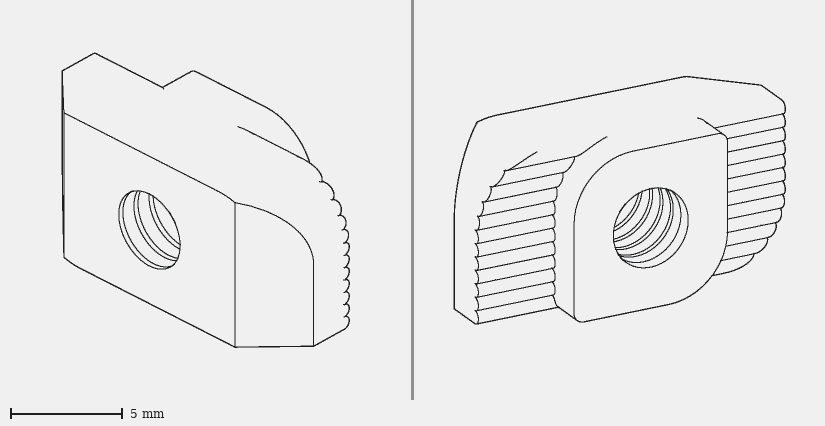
import cadquery as cq

length = 15.6
depth = 6.6
height = 7.8

flange_chamfer = 2.5
flange_radius = 3.5

stem_width = 7.8
stem_height = 1.8
stem_large_radius = 2.98
stem_small_radius = 0.5

serration_count = 12
serration_pitch = height / serration_count
serration_radius = serration_pitch / 2
root_y = depth - stem_height - serration_radius

bore_radius = 1.9
thread_depth = 0.6
thread_pitch = 0.98
crest_width = 0.27
groove_width = thread_pitch - crest_width
groove_count = int((depth - crest_width) // thread_pitch)


def rounded_plate(width, start_y, end_y, large_radius, small_radius=0):
    """Plate along Y with diagonally opposite pairs of equal corner radii in XZ."""
    plate = cq.Workplane("XY").box(width, end_y - start_y, height)
    plate = plate.translate((0, (start_y + end_y) / 2, 0))
    for side in (1, -1):
        corner = cq.selectors.NearestToPointSelector
        rounded_corner = (side * width / 2, (start_y + end_y) / 2, side * height / 2)
        plate = plate.edges("|Y").edges(corner(rounded_corner)).fillet(large_radius)
        if small_radius:
            tight_corner = (-side * width / 2, (start_y + end_y) / 2, side * height / 2)
            plate = plate.edges("|Y").edges(corner(tight_corner)).fillet(small_radius)
    return plate


def flange_profile():
    """Flange section in XY: bevelled at the front, ending at the serration roots."""
    half = length / 2
    return (
        cq.Workplane("XY")
        .polyline([
            (-half, root_y),
            (-half, flange_chamfer),
            (-half + flange_chamfer, 0),
            (half - flange_chamfer, 0),
            (half, flange_chamfer),
            (half, root_y),
        ])
        .close()
        .extrude(height / 2, both=True)
    )


def serrations():
    """Row of cylinders along X whose rear halves stand proud of the flange."""
    centers = [
        (root_y, -height / 2 + (index + 0.5) * serration_pitch)
        for index in range(serration_count)
    ]
    return (
        cq.Workplane("YZ")
        .pushPoints(centers)
        .circle(serration_radius)
        .extrude(length / 2, both=True)
    )


def threaded_bore():
    """Cutter: cylinder along Y carrying evenly spaced V-shaped rings."""
    profile = cq.Workplane("XY").moveTo(0, 0).lineTo(bore_radius, 0)
    for index in range(groove_count):
        groove_start = crest_width + index * thread_pitch
        profile = (
            profile.lineTo(bore_radius, groove_start)
            .lineTo(bore_radius + thread_depth, groove_start + groove_width / 2)
            .lineTo(bore_radius, groove_start + groove_width)
        )
    profile = profile.lineTo(bore_radius, depth).lineTo(0, depth).close()
    return profile.revolve(360, (0, 0), (0, 1))


flange_outline = rounded_plate(length, 0, depth, flange_radius)
flange = flange_profile().union(serrations()).intersect(flange_outline)
stem = rounded_plate(stem_width, root_y, depth, stem_large_radius, stem_small_radius)

result = flange.union(stem).cut(threaded_bore())